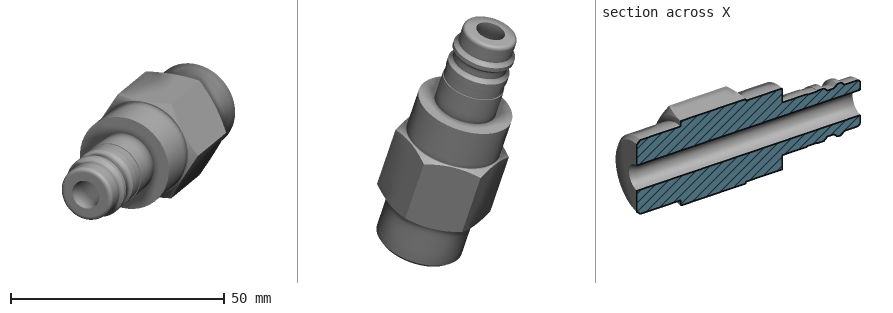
import cadquery as cq
import math

total_length = 61.5

spigot_length = 12.0
spigot_radius = 10.5
spigot_chamfer = 1.0

hex_length = 18.0
hex_across_flats = 24.0
hex_chamfer_radius = 11.9
hex_chamfer_angle = 30.0
corner_clearance = 0.6

collar_length = 10.0
collar_radius = 11.5
bore_radius = 3.5

plug_radius = 7.5
shallow_groove_radius = 7.3
neck_radius = 6.6
tip_fillet = 1.0

ridge_start = 5.3
ridge_end = 6.35
land_start = 10.0
shallow_groove_start = 11.95
shallow_groove_end = 14.5

hex_rear = total_length - spigot_length
hex_front = hex_rear - hex_length
collar_front = hex_front - collar_length
hex_corner_radius = hex_across_flats / 2 / math.cos(math.radians(30))
bevel_length = plug_radius - neck_radius


def make_plug():
    """Revolve the stepped plug, with its ridge, grooves and rounded tip."""
    arc_inset = tip_fillet * (1 - math.sqrt(0.5))
    profile = (
        cq.Workplane("XY")
        .moveTo(0, 0)
        .lineTo(neck_radius - tip_fillet, 0)
        .threePointArc((neck_radius - arc_inset, arc_inset), (neck_radius, tip_fillet))
        .lineTo(neck_radius, ridge_start - bevel_length)
        .lineTo(plug_radius, ridge_start)
        .lineTo(plug_radius, ridge_end)
        .lineTo(neck_radius, ridge_end + bevel_length)
        .lineTo(neck_radius, land_start - bevel_length)
        .lineTo(plug_radius, land_start)
        .lineTo(plug_radius, shallow_groove_start)
        .lineTo(shallow_groove_radius, shallow_groove_start)
        .lineTo(shallow_groove_radius, shallow_groove_end)
        .lineTo(plug_radius, shallow_groove_end)
        .lineTo(plug_radius, collar_front)
        .lineTo(0, collar_front)
        .close()
    )
    return profile.revolve(360, (0, 0), (0, 1))


def cylinder(radius, start, end):
    """Make a cylinder along Y between two stations."""
    return cq.Workplane("XZ", origin=(0, start, 0)).circle(radius).extrude(start - end)


def make_hexagon():
    """Make the hexagon with conically chamfered corners at both ends."""
    prism = (
        cq.Workplane("XZ", origin=(0, hex_front, 0))
        .polygon(6, 2 * hex_corner_radius)
        .extrude(-hex_length)
    )
    limit_radius = hex_corner_radius + corner_clearance
    cone_depth = (limit_radius - hex_chamfer_radius) * math.tan(math.radians(hex_chamfer_angle))
    envelope = (
        cq.Workplane("XY")
        .moveTo(0, hex_front)
        .lineTo(hex_chamfer_radius, hex_front)
        .lineTo(limit_radius, hex_front + cone_depth)
        .lineTo(limit_radius, hex_rear - cone_depth)
        .lineTo(hex_chamfer_radius, hex_rear)
        .lineTo(0, hex_rear)
        .close()
        .revolve(360, (0, 0), (0, 1))
    )
    return prism.intersect(envelope)


collar = cylinder(collar_radius, collar_front, hex_front)
spigot = cylinder(spigot_radius, hex_rear, total_length).faces(">Y").chamfer(spigot_chamfer)
bore = cylinder(bore_radius, 0, total_length)

result = make_plug().union(collar).union(make_hexagon()).union(spigot).cut(bore)